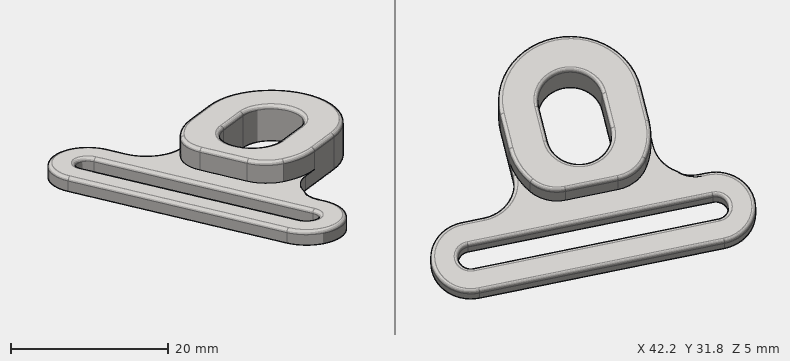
import cadquery as cq
import math

total_length = 42.2
bar_radius = 5.1
bar_thickness = 2.0
strap_slot_radius = 1.6
bar_end_x = total_length / 2 - bar_radius
bar_width = 2 * bar_radius

eye_x = 0.95
eye_radius = 9.15
eye_hole_radius = 4.15
eye_height = 5.0
total_depth = 31.75
eye_centre_distance = 5.02
eye_upper_y = total_depth - eye_radius
eye_lower_y = eye_upper_y - eye_centre_distance
eye_bottom_corner_radius = 5.0

neck_radius = 5.0
edge_radius = 0.5
sharp_neck_end_angle = math.radians(34)
rounding_runout_radius = 3.8


def round_top_edges(body):
    return body.faces(">Z").edges().fillet(edge_radius)


def make_strap_bar():
    """Bar and neck, with concave blends where the neck meets the bar."""
    left = eye_x - eye_radius
    right = eye_x + eye_radius
    neck_start_y = bar_width + neck_radius
    arc_offset = neck_radius * (1 - math.sqrt(0.5))
    outline = (
        cq.Workplane("XY")
        .moveTo(-bar_end_x, 0)
        .lineTo(bar_end_x, 0)
        .threePointArc((total_length / 2, bar_radius), (bar_end_x, bar_width))
        .lineTo(right + neck_radius, bar_width)
        .threePointArc((right + arc_offset, bar_width + arc_offset), (right, neck_start_y))
        .lineTo(right, eye_lower_y)
        .lineTo(left, eye_lower_y)
        .lineTo(left, neck_start_y)
        .threePointArc((left - arc_offset, bar_width + arc_offset), (left - neck_radius, bar_width))
        .lineTo(-bar_end_x, bar_width)
        .threePointArc((-total_length / 2, bar_radius), (-bar_end_x, 0))
        .close()
    )
    slot = (
        cq.Workplane("XY")
        .center(0, bar_radius)
        .slot2D(2 * (bar_end_x + strap_slot_radius), 2 * strap_slot_radius)
        .extrude(bar_thickness)
    )
    return round_top_edges(outline.extrude(bar_thickness).cut(slot))


def make_sharp_neck():
    """Fill the rounding on the right neck blend, leaving its top edge sharp."""
    side_x = eye_x + eye_radius
    centre_x = side_x + neck_radius
    centre_y = bar_width + neck_radius
    inner_y = bar_width - edge_radius

    def blend_point(angle):
        """Point on the neck blend, with the angle measured back from its bar end."""
        return (centre_x - neck_radius * math.sin(angle), centre_y - neck_radius * math.cos(angle))

    middle_angle = (sharp_neck_end_angle + math.pi / 2) / 2
    return (
        cq.Workplane("XY")
        .moveTo(eye_x, inner_y)
        .lineTo(centre_x, inner_y)
        .radiusArc(blend_point(sharp_neck_end_angle), rounding_runout_radius)
        .threePointArc(blend_point(middle_angle), (side_x, centre_y))
        .lineTo(side_x, eye_lower_y)
        .close()
        .extrude(bar_thickness)
    )


def make_oblong(radius, height):
    """Upright oblong sharing the two centres of the eye."""
    return (
        cq.Workplane("XY")
        .center(eye_x, (eye_upper_y + eye_lower_y) / 2)
        .slot2D(eye_centre_distance + 2 * radius, 2 * radius, 90)
        .extrude(height)
    )


def make_eye():
    """Oblong pad whose lower end is cut flat at the bar edge, with rounded corners."""
    below_flat = (
        cq.Workplane("XY")
        .rect(total_length, 2 * bar_width)
        .extrude(eye_height)
    )
    pad = make_oblong(eye_radius, eye_height).cut(below_flat)
    pad = pad.faces("<Y").edges("|Z").fillet(eye_bottom_corner_radius)
    return round_top_edges(pad.cut(make_oblong(eye_hole_radius, eye_height)))


eye_opening = make_oblong(eye_hole_radius, eye_height)
strap_bar = make_strap_bar().union(make_sharp_neck())
result = strap_bar.cut(eye_opening).union(make_eye())